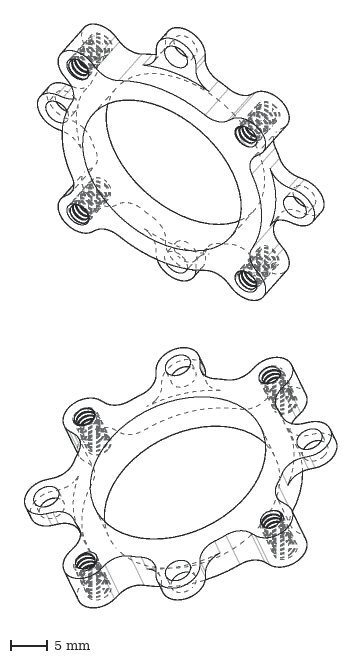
import cadquery as cq
import math

thickness = 6.35
ring_radius = 16.0
bore_diameter = 25.4

arm_count = 4
arm_angle_step = 360 / arm_count
lobe_start_angle = arm_angle_step / 2
arm_radius = 3.175
arm_fillet = 3.175
arm_center_distance = 19.05
ear_thickness = 2.54
ear_hole_diameter = 3.66

thread_major_diameter = 3.505
thread_minor_diameter = 2.74
inch = 25.4
threads_per_inch = 32
thread_pitch = inch / threads_per_inch
thread_half_angle = 30
thread_root_width = thread_pitch / 8
thread_start_angle = 135
groove_overlap = 0.1
entry_diameter = 3.52


def disc(radius, depth, x=0.0):
    """Cylinder along +Y at the given X, starting on the Y = 0 face."""
    center = cq.Vector(x, 0, 0)
    return cq.Workplane(cq.Solid.makeCylinder(radius, depth, center, cq.Vector(0, 1, 0)))


def around_axis(body, start_angle):
    """Copies of a body placed evenly around the Y axis."""
    return [
        body.rotate((0, 0, 0), (0, 1, 0), -(start_angle + i * arm_angle_step))
        for i in range(arm_count)
    ]


def arm(depth):
    """Round-ended arm along +X whose straight flanks are blended into the ring."""
    blend_offset = arm_radius + arm_fillet
    blend_distance = ring_radius + arm_fillet
    blend_x = math.sqrt(blend_distance**2 - blend_offset**2)
    blend_angle = math.asin(blend_offset / blend_distance)

    ring_x = ring_radius * math.cos(blend_angle)
    ring_z = ring_radius * math.sin(blend_angle)
    mid_direction = -math.pi / 2 - (math.pi / 2 - blend_angle) / 2
    mid_x = blend_x + arm_fillet * math.cos(mid_direction)
    mid_z = blend_offset + arm_fillet * math.sin(mid_direction)

    outline = (
        cq.Workplane("XZ")
        .moveTo(0, 0)
        .lineTo(ring_x, ring_z)
        .threePointArc((mid_x, mid_z), (blend_x, arm_radius))
        .lineTo(arm_center_distance, arm_radius)
        .threePointArc((arm_center_distance + arm_radius, 0), (arm_center_distance, -arm_radius))
        .lineTo(blend_x, -arm_radius)
        .threePointArc((mid_x, -mid_z), (ring_x, -ring_z))
        .close()
    )
    return outline.extrude(-depth)


def ear():
    """Thin arm, flush with the +Y face."""
    return arm(ear_thickness).translate((0, thickness - ear_thickness, 0))


def thread_groove():
    """Helical V groove along +Z, running one pitch past both faces."""
    inner_radius = thread_minor_diameter / 2 - groove_overlap
    outer_radius = thread_major_diameter / 2
    slope = math.tan(math.radians(thread_half_angle))
    root_half = thread_root_width / 2
    mouth_half = root_half + (outer_radius - inner_radius) * slope
    path = cq.Wire.makeHelix(thread_pitch, thickness + 2 * thread_pitch, inner_radius)
    profile = cq.Workplane("XZ").polyline(
        [
            (inner_radius, -mouth_half),
            (outer_radius, -root_half),
            (outer_radius, root_half),
            (inner_radius, mouth_half),
        ]
    ).close()
    groove = profile.sweep(cq.Workplane(path), isFrenet=True)
    groove = groove.translate((0, 0, -thread_pitch))
    return groove.rotate((0, 0, 0), (0, 0, 1), thread_start_angle)


def at_lobe_center(tool):
    """Stand a +Z tool along +Y at the lobe center, its foot on the Y = 0 face."""
    return tool.rotate((0, 0, 0), (1, 0, 0), -90).translate((arm_center_distance, 0, 0))


def thread_entry():
    """45 degree countersink on the Y = 0 face."""
    entry_depth = (entry_diameter - thread_minor_diameter) / 2
    cone = cq.Solid.makeCone(entry_diameter / 2, thread_minor_diameter / 2, entry_depth)
    return cq.Workplane(cone)


result = disc(ring_radius, thickness)
for lobe in around_axis(arm(thickness), lobe_start_angle):
    result = result.union(lobe)
for ear_body in around_axis(ear(), 0):
    result = result.union(ear_body)

result = result.cut(disc(bore_diameter / 2, thickness))
for hole in around_axis(disc(ear_hole_diameter / 2, thickness, arm_center_distance), 0):
    result = result.cut(hole)

minor_bore = disc(thread_minor_diameter / 2, thickness, arm_center_distance)
for tool in (at_lobe_center(thread_groove()), minor_bore, at_lobe_center(thread_entry())):
    for cutter in around_axis(tool, lobe_start_angle):
        result = result.cut(cutter)